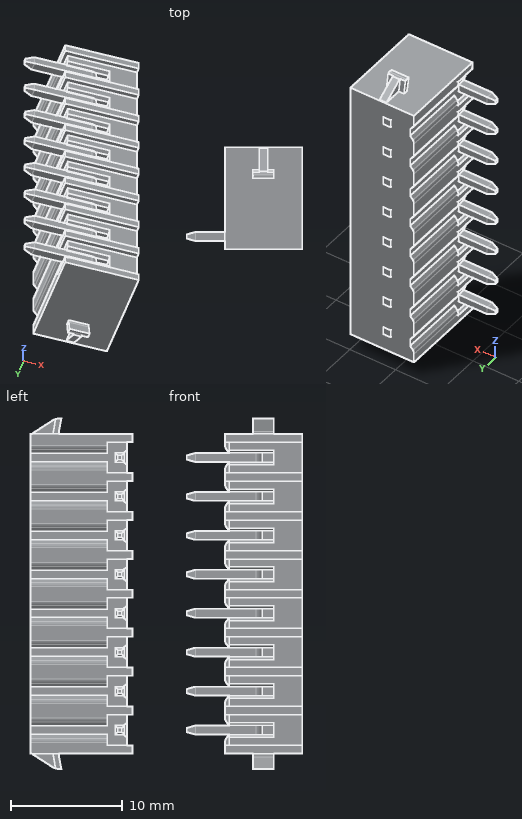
import cadquery as cq
import math


overall_height = 31.5

contact_count = 8
pitch = 3.5
rib_thickness = 0.75
housing_width = 6.95
housing_depth = 9.2
housing_height = contact_count * pitch + rib_thickness
rib_overhang = 0.5
bay_height = pitch - rib_thickness
bay_step = 0.4
bay_length = 2.27

groove_half_floor = 0.38
groove_half_bend = 0.72
groove_flank_angle = 39.0
groove_depth = bay_step

pin_size = 0.82
pin_front = 0.75
pin_reach = 3.43
pin_bend_end = 3.37
pin_bend_radius = 0.6
tip_length = 0.75
tip_size = 0.38

slot_end = 4.38
slot_flare = 0.25
slot_flare_depth = 0.35
slot_mouth = pin_size + 2 * slot_flare
slot_floor = pin_front + pin_bend_radius

latch_height = (overall_height - housing_height) / 2
latch_centre = 3.45
latch_plate_width = 1.9
latch_web_width = 0.75
latch_shoulder = 1.32
web_start = 0.13
web_end = 2.17
plate_back_foot = 2.05
plate_back_top = 2.27
plate_crest = 2.5
plate_front_top = 2.8
plate_front_foot = 2.58
plate_foot_height = 0.25

first_bay = -(contact_count - 1) * pitch / 2
bay_centres = [first_bay + i * pitch for i in range(contact_count)]


def box(x0, x1, y0, y1, z0, z1):
    """Block between the given limits on each axis."""
    return cq.Workplane("XY").box(x1 - x0, y1 - y0, z1 - z0, centered=False).translate((x0, y0, z0))


def bay_recesses(z):
    """Material between two ribs: the set-back -Y face and the stepped -X corner."""
    z0 = z - bay_height / 2
    z1 = z + bay_height / 2
    front = box(0, housing_width, 0, rib_overhang, z0, z1)
    corner = box(0, bay_step, 0, bay_length, z0, z1)
    return front.union(corner)


def groove(z):
    """Groove with straight flanks that round over into the -X face."""
    angle = math.radians(groove_flank_angle)
    bend_depth = groove_depth - (groove_half_bend - groove_half_floor) * math.tan(angle)
    radius = bend_depth / (1 - math.cos(angle))
    half_mouth = groove_half_bend + radius * math.sin(angle)
    mid_height = half_mouth - radius * math.sin(angle / 2)
    mid_depth = radius * (1 - math.cos(angle / 2))
    return (
        cq.Workplane("XZ", origin=(0, bay_length, z))
        .moveTo(0, half_mouth)
        .threePointArc((mid_depth, mid_height), (bend_depth, groove_half_bend))
        .lineTo(groove_depth, groove_half_floor)
        .lineTo(groove_depth, -groove_half_floor)
        .lineTo(bend_depth, -groove_half_bend)
        .threePointArc((mid_depth, -mid_height), (0, -half_mouth))
        .close()
        .extrude(-(housing_depth - bay_length))
    )


def slot(z):
    """Slot for the leg, flared at its -Y mouth."""
    half = pin_size / 2
    half_mouth = slot_mouth / 2
    return (
        cq.Workplane("YZ", origin=(0, 0, z))
        .polyline([
            (rib_overhang, half_mouth),
            (rib_overhang + slot_flare_depth, half),
            (slot_floor, half),
            (slot_floor, -half),
            (rib_overhang + slot_flare_depth, -half),
            (rib_overhang, -half_mouth),
        ])
        .close()
        .extrude(slot_end)
    )


def latch():
    """Wedge-shaped web behind a leaning plate, standing on the +Z end."""
    base = housing_height / 2

    def profile(points, width):
        """Slab across the middle of the latch; points are (distance from +Y face, height)."""
        outline = [(housing_depth - y, base + z) for y, z in points]
        start = latch_centre - width / 2
        return cq.Workplane("YZ", origin=(start, 0, 0)).polyline(outline).close().extrude(width)

    web = profile(
        [(web_start, 0), (web_end, latch_shoulder), (plate_back_top, latch_shoulder), (plate_back_foot, 0)],
        latch_web_width,
    )
    plate = profile(
        [
            (plate_back_foot, 0),
            (plate_back_top, latch_shoulder),
            (plate_crest, latch_height),
            (plate_front_top, latch_height),
            (plate_front_foot, plate_foot_height),
            (plate_front_foot, 0),
        ],
        latch_plate_width,
    )
    return plate.union(web)


def make_contact(z):
    """Square wire: pointed leg along X, bent into a shank that runs to the +Y face."""
    half = pin_size / 2
    leg_start = tip_length - pin_reach
    shank_start = pin_bend_end - pin_size
    leg = box(leg_start, pin_bend_end, pin_front, pin_front + pin_size, z - half, z + half)
    shank = box(shank_start, pin_bend_end, pin_front, housing_depth, z - half, z + half)
    wire = leg.union(shank).edges("|Z").edges(">X and <Y").fillet(pin_bend_radius)
    tip = (
        cq.Workplane("YZ", origin=(leg_start, pin_front + half, z))
        .rect(pin_size, pin_size)
        .workplane(offset=-tip_length)
        .rect(tip_size, tip_size)
        .loft()
    )
    return wire.union(tip)


def make_housing(contacts):
    """Ribbed block with a bay for each contact, holes that fit the contacts, and two latches."""
    half_height = housing_height / 2
    body = box(0, housing_width, 0, housing_depth, -half_height, half_height)
    for z, contact in zip(bay_centres, contacts):
        body = body.cut(bay_recesses(z)).cut(groove(z)).cut(slot(z)).cut(contact)
    top_latch = latch()
    return body.union(top_latch).union(top_latch.mirror("XY"))


contacts = [make_contact(z) for z in bay_centres]
housing = make_housing(contacts)

result = cq.Compound.makeCompound([housing.val(), *[contact.val() for contact in contacts]])